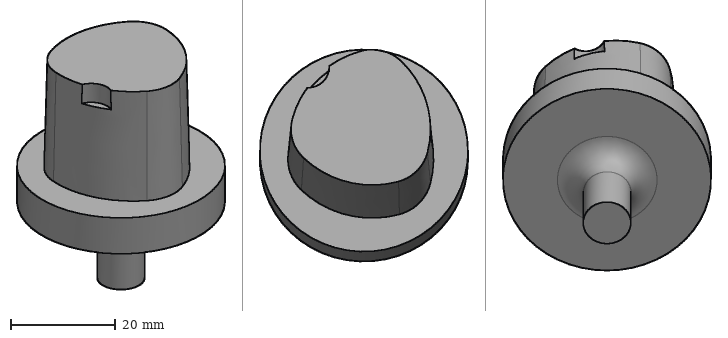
import cadquery as cq
import math

flange_diameter = 40.0
flange_thickness = 8.0

shank_height = 24.0
shank_base_width = 28.0
lobe_center_distance = 6.3
taper_ratio = 1 / 20
lobe_count = 3
lobe_direction = 90.0

notch_radius = 4.0
notch_depth = 4.2
notch_center_y = -15.0

pin_diameter = 9.15
pin_length = 17.0
pin_fillet_radius = 5.0

pin_radius = pin_diameter / 2
pin_blend_radius = pin_radius + pin_fillet_radius
pin_bottom_z = -flange_thickness - pin_length
fillet_bottom_z = -flange_thickness - pin_fillet_radius
shank_top_width = shank_base_width - shank_height * taper_ratio
edge_count = 2 * lobe_count
edge_angle = 360.0 / edge_count
half_edge_angle = edge_angle / 2


def section_wire(width, z):
    """Closed section outline at height z: lobe arcs alternating with flatter arcs, all tangent."""
    mean_radius = width / 2
    lobe_radius = mean_radius - lobe_center_distance * math.cos(math.radians(half_edge_angle))
    flat_radius = width - lobe_radius

    def arc_point(edge_index, normal_angle):
        """Point with the given outward normal, on the arc of the given edge."""
        is_lobe = edge_index % 2 == 0
        radius = lobe_radius if is_lobe else flat_radius
        center_distance = lobe_center_distance if is_lobe else -lobe_center_distance
        middle = math.radians(lobe_direction + edge_index * edge_angle)
        normal = math.radians(normal_angle)
        x = center_distance * math.cos(middle) + radius * math.cos(normal)
        y = center_distance * math.sin(middle) + radius * math.sin(normal)
        return cq.Vector(x, y, z)

    edges = []
    for index in range(edge_count):
        middle_angle = lobe_direction + index * edge_angle
        normal_angles = (middle_angle - half_edge_angle, middle_angle, middle_angle + half_edge_angle)
        points = [arc_point(index, angle) for angle in normal_angles]
        edges.append(cq.Edge.makeThreePointArc(*points))
    return cq.Wire.assembleEdges(edges)


def make_flange():
    return cq.Workplane("XY").circle(flange_diameter / 2).extrude(-flange_thickness)


def make_shank():
    base = section_wire(shank_base_width, 0)
    top = section_wire(shank_top_width, shank_height)
    return cq.Workplane(cq.Solid.makeLoft([base, top], True))


def make_notch_cutter():
    return (
        cq.Workplane("XY", origin=(0, notch_center_y, shank_height))
        .circle(notch_radius)
        .extrude(-notch_depth)
    )


def make_pin():
    """Round pin that flares into the underside of the flange."""
    arc_middle = pin_fillet_radius * (1 - math.sqrt(0.5))
    return (
        cq.Workplane("XZ")
        .moveTo(0, pin_bottom_z)
        .lineTo(pin_radius, pin_bottom_z)
        .lineTo(pin_radius, fillet_bottom_z)
        .threePointArc(
            (pin_radius + arc_middle, -flange_thickness - arc_middle),
            (pin_blend_radius, -flange_thickness),
        )
        .lineTo(0, -flange_thickness)
        .close()
        .revolve(360, (0, 0, 0), (0, 1, 0))
    )


shank = make_shank().cut(make_notch_cutter())
result = make_flange().union(shank).union(make_pin())